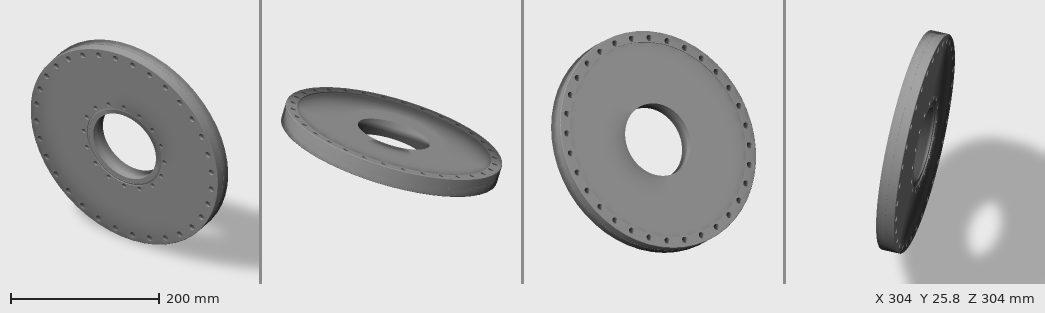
import cadquery as cq
import math

outer_diameter = 304.0
thickness = 25.8
edge_chamfer = 0.5
bore_diameter = 101.5

rim_groove_width = 1.0
rim_groove_depth = 0.3

front_recess_diameter = 120.7
knife_edge_diameter = 115.2
front_seat_depth = 1.2
knife_tip_depth = 0.5
knife_slope_height = 1.0

back_recess_diameter = 273.0
back_recess_depth = 1.2

outer_hole_count = 32
outer_hole_diameter = 8.5
outer_hole_circle = 284.2

inner_hole_count = 16
inner_hole_diameter = 6.7
inner_hole_circle = 130.5
inner_hole_depth = 15.2
drill_point_angle = 118.0
flat_bottom_positions = (4, 8)

front_y = -thickness / 2
front_plane = cq.Plane(origin=(0, front_y, 0), xDir=(1, 0, 0), normal=(0, -1, 0))


def make_disc():
    disc = cq.Workplane(front_plane).circle(outer_diameter / 2).extrude(-thickness)
    return disc.edges().chamfer(edge_chamfer)


def make_rim_groove():
    outer = cq.Workplane("XZ").circle(outer_diameter / 2)
    ring = outer.circle(outer_diameter / 2 - rim_groove_depth)
    return ring.extrude(rim_groove_width / 2, both=True)


def make_front_recess():
    seat_y = front_y + front_seat_depth
    tip_y = front_y + knife_tip_depth
    profile = [
        (0, front_y),
        (front_recess_diameter / 2, front_y),
        (front_recess_diameter / 2, tip_y + knife_slope_height),
        (knife_edge_diameter / 2, tip_y),
        (knife_edge_diameter / 2, seat_y),
        (0, seat_y),
    ]
    return cq.Workplane("XY").polyline(profile).close().revolve(360, (0, 0, 0), (0, 1, 0))


def make_back_recess():
    back_plane = cq.Workplane("XZ", origin=(0, thickness / 2, 0))
    return back_plane.circle(back_recess_diameter / 2).extrude(back_recess_depth)


def make_bore():
    return cq.Workplane(front_plane).circle(bore_diameter / 2).extrude(-thickness)


def make_outer_holes():
    first_angle = 180 / outer_hole_count
    centers = cq.Workplane(front_plane).polarArray(
        outer_hole_circle / 2, first_angle, 360, outer_hole_count
    )
    return centers.circle(outer_hole_diameter / 2).extrude(-thickness)


def make_inner_hole(position):
    radius = inner_hole_diameter / 2
    floor_y = front_y + inner_hole_depth
    point_height = radius / math.tan(math.radians(drill_point_angle / 2))
    if position in flat_bottom_positions:
        point_height = 0
    profile = cq.Workplane("XY").moveTo(0, front_y).lineTo(radius, front_y).lineTo(radius, floor_y)
    hole = profile.lineTo(0, floor_y + point_height).close().revolve(360, (0, 0, 0), (0, 1, 0))
    angle = 2 * math.pi * position / inner_hole_count
    circle_radius = inner_hole_circle / 2
    return hole.translate((circle_radius * math.cos(angle), 0, circle_radius * math.sin(angle)))


result = (
    make_disc()
    .cut(make_rim_groove())
    .cut(make_front_recess())
    .cut(make_back_recess())
    .cut(make_bore())
    .cut(make_outer_holes())
)
for position in range(inner_hole_count):
    result = result.cut(make_inner_hole(position))